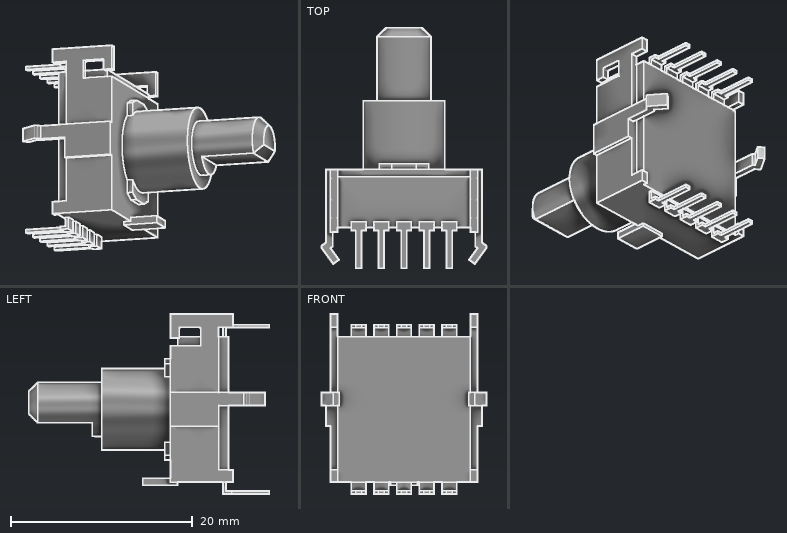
import cadquery as cq
import math


SHAFT_TIP_Y = 15.6
SHAFT_RADIUS = 3.0
SHAFT_FLAT_DEPTH = SHAFT_RADIUS / 2
SHAFT_FLAT_END_Y = 8.6
SHAFT_CHAMFER = 1.0
BUSHING_RADIUS = 4.5
BUSHING_LENGTH = 7.58

LUG_HEIGHT = 0.64
LUG_HALF_WIDTH = 2.7
LUG_CREST_HALF_WIDTH = 1.32
LUG_CREST_Z = 5.6
LUG_SHOULDER_Z = 5.04

SHEET = 0.8
BODY_HALF_WIDTH = 7.31
BODY_HALF_HEIGHT = 8.0
BODY_FRONT_Y = -6.4

WEB_TOP_Z = 7.02
SIDE_OUTER_X = BODY_HALF_WIDTH + SHEET
SIDE_TOP_Z = 10.5
SIDE_EDGE_Y = -5.3
SIDE_FOOT_Y = -6.9
FOOT_TOP_Z = -6.65
ARM_BOTTOM_Z = 9.0
HOOK_BOTTOM_Z = 7.85
HOOK_WIDTH = 0.98
SLOT_END_Y = -3.3
SLOT_FILLET = 0.1

TAB_HALF_WIDTH = 1.5
TAB_TIP_Y = 3.05
TAB_TOP_Z = -7.58

CLIP_OUTER_X = 8.6
CLIP_INNER_X = CLIP_OUTER_X - SHEET
CLIP_PAD_HALF_HEIGHT = 1.85
CLIP_ARM_HEIGHT = 1.45
CLIP_SPAN = 18.2
CLIP_ELBOW_RADIUS = 0.225
CLIP_CORNER_Y = -8.48
CLIP_TIP_LENGTH = 2.38
CLIP_TIP_ANGLE = 36

PIN_COUNT = 5
PIN_ROW_LENGTH = 10.0
PIN_PITCH = PIN_ROW_LENGTH / (PIN_COUNT - 1)
PIN_TIP_Y = -10.9
PIN_OUTER_Z = 9.33
PIN_THICKNESS = 0.35
PIN_WIDTH = 0.64
PIN_SHOULDER_WIDTH = 1.65
PIN_ROOT_Y = -5.78
PIN_SHOULDER_Y = -6.73


def block(x_range, y_range, z_range):
    """Box between two limits on each axis."""
    size = [high - low for low, high in (x_range, y_range, z_range)]
    corner = (x_range[0], y_range[0], z_range[0])
    return cq.Workplane("XY").box(*size, centered=False).translate(corner)


def mirrored_in_x(shape):
    return shape.union(shape.mirror("YZ"))


def mirrored_in_z(shape):
    return shape.union(shape.mirror("XY"))


def cylinder_along_y(radius, end_y):
    return cq.Workplane("XZ").circle(radius).extrude(-end_y)


def make_shaft():
    shaft = cylinder_along_y(SHAFT_RADIUS, SHAFT_TIP_Y)
    flat_cut = block(
        (-SHAFT_RADIUS, SHAFT_RADIUS),
        (SHAFT_FLAT_END_Y, SHAFT_TIP_Y),
        (-SHAFT_RADIUS, -SHAFT_FLAT_DEPTH),
    )
    return shaft.cut(flat_cut).faces(">Y").chamfer(SHAFT_CHAMFER)


def make_lugs():
    lug = (
        cq.Workplane("XZ")
        .moveTo(-LUG_HALF_WIDTH, 0)
        .lineTo(-LUG_HALF_WIDTH, LUG_SHOULDER_Z)
        .lineTo(-LUG_CREST_HALF_WIDTH, LUG_CREST_Z)
        .lineTo(LUG_CREST_HALF_WIDTH, LUG_CREST_Z)
        .lineTo(LUG_HALF_WIDTH, LUG_SHOULDER_Z)
        .lineTo(LUG_HALF_WIDTH, 0)
        .close()
        .extrude(-LUG_HEIGHT)
    )
    return mirrored_in_z(lug)


def make_body():
    body_x = (-BODY_HALF_WIDTH, BODY_HALF_WIDTH)
    body = block(body_x, (BODY_FRONT_Y, -SHEET), (-BODY_HALF_HEIGHT, BODY_HALF_HEIGHT))
    web = block(body_x, (-SHEET, 0), (-BODY_HALF_HEIGHT, WEB_TOP_Z))
    return body.union(web)


def make_side_plates():
    outline = [
        (0, -BODY_HALF_HEIGHT),
        (0, WEB_TOP_Z),
        (SLOT_END_Y, WEB_TOP_Z),
        (SLOT_END_Y, ARM_BOTTOM_Z),
        (-HOOK_WIDTH, ARM_BOTTOM_Z),
        (-HOOK_WIDTH, HOOK_BOTTOM_Z),
        (0, HOOK_BOTTOM_Z),
        (0, SIDE_TOP_Z),
        (SIDE_FOOT_Y, SIDE_TOP_Z),
        (SIDE_FOOT_Y, ARM_BOTTOM_Z),
        (SIDE_EDGE_Y, ARM_BOTTOM_Z),
        (SIDE_EDGE_Y, FOOT_TOP_Z),
        (SIDE_FOOT_Y, FOOT_TOP_Z),
        (SIDE_FOOT_Y, -BODY_HALF_HEIGHT),
    ]
    plate = cq.Workplane("YZ", origin=(BODY_HALF_WIDTH, 0, 0)).polyline(outline).close().extrude(SHEET)
    slot_top_corners = cq.selectors.BoxSelector(
        (BODY_HALF_WIDTH, SLOT_END_Y - SLOT_FILLET, ARM_BOTTOM_Z - SLOT_FILLET),
        (SIDE_OUTER_X, SLOT_FILLET - HOOK_WIDTH, ARM_BOTTOM_Z + SLOT_FILLET),
    )
    plate = plate.edges("|X").edges(slot_top_corners).fillet(SLOT_FILLET)
    return mirrored_in_x(plate)


def make_clips():
    pad = block(
        (CLIP_INNER_X, CLIP_OUTER_X),
        (SIDE_EDGE_Y, 0),
        (-CLIP_PAD_HALF_HEIGHT, CLIP_PAD_HALF_HEIGHT),
    )

    lean_sin = math.sin(math.radians(CLIP_TIP_ANGLE))
    lean_cos = math.cos(math.radians(CLIP_TIP_ANGLE))
    corner_x = CLIP_SPAN / 2 + CLIP_ELBOW_RADIUS * (lean_sin + lean_cos - 1)

    def from_corner(along_tip, along_ramp):
        """Point measured from the sharp elbow corner, along the tip and back along the ramp."""
        x = corner_x - along_tip * lean_sin - along_ramp * lean_cos
        y = CLIP_CORNER_Y - along_tip * lean_cos + along_ramp * lean_sin
        return (x, y)

    def ramp_end(along_tip, face_x):
        """Point where a line along the ramp direction meets a straight face of the arm."""
        return from_corner(along_tip, (corner_x - along_tip * lean_sin - face_x) / lean_cos)

    arc_middle = CLIP_ELBOW_RADIUS * (1 - math.sqrt(0.5))
    arm_bottom_z = CLIP_PAD_HALF_HEIGHT - CLIP_ARM_HEIGHT
    arm = (
        cq.Workplane("XY", origin=(0, 0, arm_bottom_z))
        .moveTo(CLIP_INNER_X, 0)
        .lineTo(CLIP_OUTER_X, 0)
        .lineTo(*ramp_end(0, CLIP_OUTER_X))
        .lineTo(*from_corner(0, CLIP_ELBOW_RADIUS))
        .threePointArc(from_corner(arc_middle, arc_middle), from_corner(CLIP_ELBOW_RADIUS, 0))
        .lineTo(*from_corner(CLIP_TIP_LENGTH, 0))
        .lineTo(*from_corner(CLIP_TIP_LENGTH, SHEET))
        .lineTo(*from_corner(SHEET, SHEET))
        .lineTo(*ramp_end(SHEET, CLIP_INNER_X))
        .close()
        .extrude(CLIP_ARM_HEIGHT)
    )
    return mirrored_in_x(pad.union(arm))


def make_locating_tab():
    return block((-TAB_HALF_WIDTH, TAB_HALF_WIDTH), (-SHEET, TAB_TIP_Y), (TAB_TOP_Z - SHEET, TAB_TOP_Z))


def make_pin_pair(x):
    shoulder_x = (x - PIN_SHOULDER_WIDTH / 2, x + PIN_SHOULDER_WIDTH / 2)
    pin_x = (x - PIN_WIDTH / 2, x + PIN_WIDTH / 2)
    leg_z = (PIN_OUTER_Z - PIN_THICKNESS, PIN_OUTER_Z)
    riser = block(shoulder_x, (PIN_ROOT_Y - PIN_THICKNESS, PIN_ROOT_Y), (BODY_HALF_HEIGHT, PIN_OUTER_Z))
    shoulder = block(shoulder_x, (PIN_SHOULDER_Y, PIN_ROOT_Y), leg_z)
    leg = block(pin_x, (PIN_TIP_Y, PIN_ROOT_Y), leg_z)
    return mirrored_in_z(riser.union(shoulder).union(leg))


result = (
    make_body()
    .union(make_side_plates())
    .union(make_clips())
    .union(make_locating_tab())
    .union(cylinder_along_y(BUSHING_RADIUS, BUSHING_LENGTH))
    .union(make_shaft())
    .union(make_lugs())
)
for index in range(PIN_COUNT):
    pin_centre_x = index * PIN_PITCH - PIN_ROW_LENGTH / 2
    result = result.union(make_pin_pair(pin_centre_x))